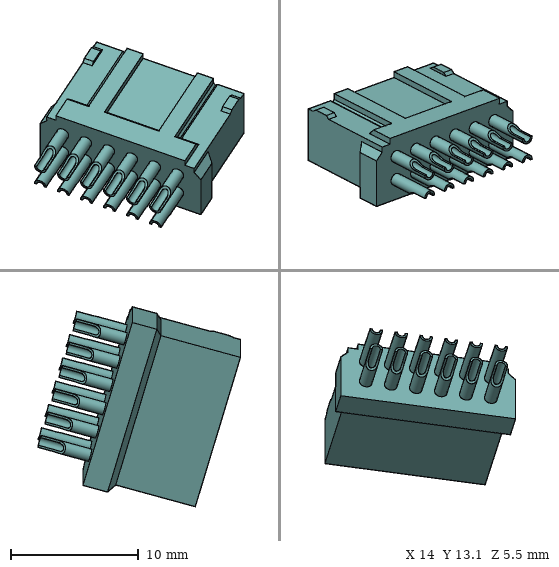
import cadquery as cq
import math

body_width = 12.84
body_depth = 9.0
step = 0.5
total_height = 5.5
body_top = total_height - step

flange_width = 14
flange_straight = 2.0
flange_depth = flange_straight + step
flange_side = (flange_width - body_width) / 2
flange_top = 4.55

frame_width = 11.23
rail_gap = 4.72
rail_width = 1.4
rail_inner_x = rail_gap / 2
rail_outer_x = rail_inner_x + rail_width

groove_depth = 0.18

bump_width = (body_width - frame_width) / 2
bump_height = 0.24
bump_front = 6.52
bump_rear = 8.44
bump_front_slope = 0.27
bump_rear_slope = 0.38

contacts_per_row = 6
contact_pitch = 2.0
upper_row_z = 3.75
row_heights = (upper_row_z, upper_row_z - contact_pitch)
pin_radius = 0.5
pin_length = 4.1
cup_radius = 0.32
cup_depth = 2.7
scoop_radius = 1.0
scoop_flat = 2.9


def box_between(x_range, y_range, z_range):
    """Axis-aligned box given by its limits."""
    size = [high - low for low, high in (x_range, y_range, z_range)]
    corner = (x_range[0], y_range[0], z_range[0])
    return cq.Workplane("XY").box(*size, centered=False).translate(corner)


def side_profile(points, x_start, x_end):
    """Prism along X over a closed outline of (y, z) points."""
    return cq.Workplane("YZ", origin=(x_start, 0, 0)).polyline(points).close().extrude(x_end - x_start)


def make_body():
    half = body_width / 2
    return box_between((-half, half), (0, body_depth), (step, body_top))


def make_flange():
    """Flange with sloped upper corners, tapering back to the body on its sides and underside."""
    half = flange_width / 2
    inner = body_width / 2
    shoulder = flange_top - flange_side
    front = [(-half, 0), (half, 0), (half, shoulder), (inner, flange_top),
             (-inner, flange_top), (-half, shoulder)]
    blank = cq.Workplane("XZ").polyline(front).close().extrude(-flange_depth)
    plan = [(-half, 0), (half, 0), (half, flange_straight), (inner, flange_depth),
            (-inner, flange_depth), (-half, flange_straight)]
    side_taper = cq.Workplane("XY").polyline(plan).close().extrude(flange_top)
    underside = [(0, 0), (flange_straight, 0), (flange_depth, step),
                 (flange_depth, flange_top), (0, flange_top)]
    return blank.intersect(side_taper).intersect(side_profile(underside, -half, half))


def make_frame():
    """Cross bar with a sloped rear face, and two rails running to the rear."""
    half = frame_width / 2
    bar = [(0, body_top), (flange_depth, body_top), (flange_straight, total_height), (0, total_height)]
    frame = side_profile(bar, -half, half)
    for x_range in ((-rail_outer_x, -rail_inner_x), (rail_inner_x, rail_outer_x)):
        frame = frame.union(box_between(x_range, (0, body_depth), (body_top, total_height)))
    return frame


def make_groove(side):
    """V-groove outside one rail; its blind end continues the slope of the cross bar."""
    near = side * rail_outer_x
    middle = side * (rail_outer_x + groove_depth)
    far = side * (rail_outer_x + 2 * groove_depth)
    vee = [(near, body_top), (middle, body_top - groove_depth), (far, body_top)]
    groove = cq.Workplane("XZ").polyline(vee).close().extrude(-body_depth)
    floor = body_top - groove_depth
    limit = [(flange_depth, body_top), (flange_depth + groove_depth, floor), (body_depth, floor),
             (body_depth, body_top)]
    return groove.intersect(side_profile(limit, -body_width / 2, body_width / 2))


def make_bump(side):
    top = body_top + bump_height
    outline = [(bump_front, body_top), (bump_front + bump_front_slope, top),
               (bump_rear - bump_rear_slope, top), (bump_rear, body_top)]
    outer = body_width / 2
    x_start = outer - bump_width if side > 0 else -outer
    return side_profile(outline, x_start, x_start + bump_width)


def make_contact():
    """Upper-row contact on the Y axis: a bored pin with its upper half scooped away at the tip."""
    pin = cq.Workplane("XZ").circle(pin_radius).extrude(pin_length)
    scoop_run = math.sqrt(scoop_radius**2 - (scoop_radius - pin_radius) ** 2)
    scoop_start = scoop_flat - scoop_run
    bore = cq.Workplane("XZ", origin=(0, cup_depth - pin_length, 0)).circle(cup_radius).extrude(cup_depth)
    half_angle = math.asin(scoop_run / scoop_radius) / 2
    arc_middle = (-scoop_flat + scoop_radius * math.sin(half_angle),
                  scoop_radius * (1 - math.cos(half_angle)))
    scoop = (
        cq.Workplane("YZ")
        .moveTo(-scoop_start, pin_radius)
        .threePointArc(arc_middle, (-scoop_flat, 0))
        .lineTo(-pin_length, 0)
        .lineTo(-pin_length, pin_radius)
        .close()
        .extrude(pin_radius, both=True)
    )
    return pin.cut(bore).cut(scoop)


result = make_body().union(make_flange()).union(make_frame())
for side in (-1, 1):
    result = result.cut(make_groove(side)).union(make_bump(side))

upper_contact = make_contact()
lower_contact = upper_contact.mirror("XY")
for column in range(contacts_per_row):
    x = (column - (contacts_per_row - 1) / 2) * contact_pitch
    for contact, z in zip((upper_contact, lower_contact), row_heights):
        result = result.union(contact.translate((x, 0, z)))